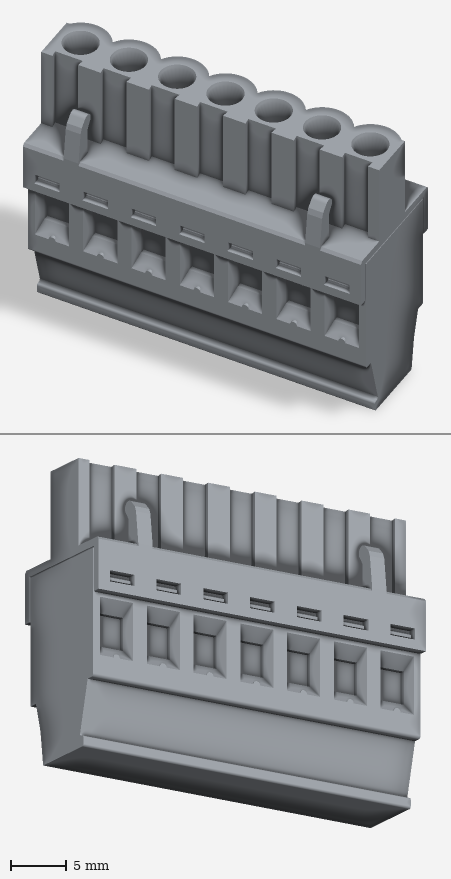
import cadquery as cq
import math


LENGTH = 35.0
POLES = 7
PITCH = LENGTH / POLES
POLE_X = [(i - (POLES - 1) / 2) * PITCH for i in range(POLES)]

STEP_Z = 6.2
HOOD_BOTTOM_Z = 14.25
HOOD_TOP_Z = 19.3
TOTAL_HEIGHT = 27.6

HOOD_HALF_DEPTH = 6.3
BODY_HALF_DEPTH = 5.35
HOOD_PLATE = 0.75
BEVEL_DEPTH = 0.25
BEVEL_HEIGHT = 0.28
SEAM_WIDTH = 0.15
SEAM_DEPTH = 0.1
STEP_ROUND = 0.28

FOOT_TOP_HALF = 4.4
FOOT_BACK_MID_Y = 3.65
FOOT_BACK_MID_Z = 3.35
FOOT_BACK_BOTTOM_Y = 3.2
FOOT_FRONT_Y = -3.1
RAIL_Y = -3.68
RAIL_HEIGHT = 1.05
RAIL_ROUND = 0.2
RAIL_ROOT_RADIUS = 0.25

LOBE_RADIUS = 2.9
SOCKET_FRONT_Y = -2.87
END_SHOULDER_Y = 1.92
KEYWAY_OPENING = 2.65
KEYWAY_BASE = 2.87
KEYWAY_DEPTH = 0.7
FUNNEL_MOUTH = 3.45
FUNNEL_BASE = 1.58
FUNNEL_DEPTH = 2.1

LATCH_WIDTH = 1.55
LATCH_TIP_Y = -4.65
LATCH_TIP_Z = 23.15
LATCH_TIP_RADIUS = 0.63
LATCH_SLOPE_RUN = 0.6
LATCH_NOSE_Y = -5.9
LATCH_NOSE_Z = 22.45
LATCH_INNER_TOP_Z = 22.05
LATCH_INNER_Y = -4.62
LATCH_FLARE_RUN = 0.1
LATCH_FLARE_HEIGHT = 0.3

ENTRY_WIDTH = 3.55
ENTRY_BOTTOM_Z = 8.33
ENTRY_TOP_Z = 13.85
ENTRY_SIDE_TAPER = 0.4
ENTRY_END_TAPER = 1.2
ENTRY_TAPER_DEPTH = 1.1
ENTRY_DEPTH = 1.6
SILL_RIB_RADIUS = 0.35

WINDOW_WIDTH = 2.62
WINDOW_BOTTOM_Z = 15.15
WINDOW_TOP_Z = 16.2
CATCH_MARGIN = 0.2
CATCH_REACH = 0.6
CATCH_FACE_HEIGHT = 0.28


def extrude_along_row(sketch, width, x_centre=0.0):
    """Extrude a closed Y-Z outline by width, centred on x_centre."""
    return sketch.extrude(width / 2, both=True).translate((x_centre, 0, 0))


def box_between(x_range, y_range, z_range):
    size = [high - low for low, high in (x_range, y_range, z_range)]
    corner = (x_range[0], y_range[0], z_range[0])
    return cq.Workplane("XY").box(*size, centered=False).translate(corner)


def make_body():
    outline = (
        cq.Workplane("YZ")
        .moveTo(FOOT_BACK_BOTTOM_Y, 0)
        .lineTo(FOOT_BACK_MID_Y, FOOT_BACK_MID_Z)
        .lineTo(FOOT_TOP_HALF, STEP_Z)
        .lineTo(BODY_HALF_DEPTH, STEP_Z)
        .lineTo(BODY_HALF_DEPTH, HOOD_BOTTOM_Z)
        .lineTo(HOOD_HALF_DEPTH, HOOD_BOTTOM_Z)
        .lineTo(HOOD_HALF_DEPTH, HOOD_TOP_Z - BEVEL_HEIGHT)
        .lineTo(HOOD_HALF_DEPTH - BEVEL_DEPTH, HOOD_TOP_Z)
        .lineTo(-HOOD_HALF_DEPTH + BEVEL_DEPTH, HOOD_TOP_Z)
        .lineTo(-HOOD_HALF_DEPTH, HOOD_TOP_Z - BEVEL_HEIGHT)
        .lineTo(-HOOD_HALF_DEPTH, HOOD_BOTTOM_Z)
        .lineTo(-BODY_HALF_DEPTH, HOOD_BOTTOM_Z)
        .lineTo(-BODY_HALF_DEPTH, STEP_Z + STEP_ROUND)
        .radiusArc((-BODY_HALF_DEPTH + STEP_ROUND, STEP_Z), -STEP_ROUND)
        .lineTo(-FOOT_TOP_HALF, STEP_Z)
        .lineTo(FOOT_FRONT_Y, RAIL_HEIGHT + RAIL_ROOT_RADIUS)
        .radiusArc((FOOT_FRONT_Y - RAIL_ROOT_RADIUS, RAIL_HEIGHT), RAIL_ROOT_RADIUS)
        .lineTo(RAIL_Y + RAIL_ROUND, RAIL_HEIGHT)
        .radiusArc((RAIL_Y, RAIL_HEIGHT - RAIL_ROUND), -RAIL_ROUND)
        .lineTo(RAIL_Y, RAIL_ROUND)
        .radiusArc((RAIL_Y + RAIL_ROUND, 0), -RAIL_ROUND)
        .close()
    )
    return extrude_along_row(outline, LENGTH)


def make_end_seams():
    """Shallow U-shaped seams between the hood and the body on both end faces."""
    x_range = (-LENGTH / 2, LENGTH / 2)
    seam_top = HOOD_TOP_Z - HOOD_PLATE
    half = BODY_HALF_DEPTH
    outer = box_between(x_range, (-half - SEAM_WIDTH, half + SEAM_WIDTH), (HOOD_BOTTOM_Z, seam_top))
    inner = box_between(x_range, (-half, half), (HOOD_BOTTOM_Z, seam_top - SEAM_WIDTH))
    middle = box_between(
        (-LENGTH / 2 + SEAM_DEPTH, LENGTH / 2 - SEAM_DEPTH),
        (-HOOD_HALF_DEPTH, HOOD_HALF_DEPTH),
        (HOOD_BOTTOM_Z, seam_top),
    )
    return outer.cut(inner).cut(middle)


def make_sockets():
    """Scalloped socket block with a keyway and a pin funnel at every pole."""
    end_x = LENGTH / 2
    valley_y = math.sqrt(LOBE_RADIUS**2 - (PITCH / 2) ** 2)
    shoulder_x = math.sqrt(LOBE_RADIUS**2 - END_SHOULDER_Y**2)
    outline = (
        cq.Workplane("XY")
        .workplane(offset=HOOD_TOP_Z)
        .moveTo(-end_x, SOCKET_FRONT_Y)
        .lineTo(-end_x, END_SHOULDER_Y)
        .lineTo(POLE_X[0] - shoulder_x, END_SHOULDER_Y)
    )
    for x in POLE_X[:-1]:
        outline = outline.threePointArc((x, LOBE_RADIUS), (x + PITCH / 2, valley_y))
    last = POLE_X[-1]
    outline = outline.threePointArc((last, LOBE_RADIUS), (last + shoulder_x, END_SHOULDER_Y))
    outline = outline.lineTo(end_x, END_SHOULDER_Y).lineTo(end_x, SOCKET_FRONT_Y).close()
    block = outline.extrude(TOTAL_HEIGHT - HOOD_TOP_Z)

    keyway_back_y = SOCKET_FRONT_Y + KEYWAY_DEPTH
    for x in POLE_X:
        keyway = (
            cq.Workplane("XY")
            .workplane(offset=HOOD_TOP_Z)
            .moveTo(x - KEYWAY_OPENING / 2, SOCKET_FRONT_Y)
            .lineTo(x - KEYWAY_BASE / 2, keyway_back_y)
            .lineTo(x + KEYWAY_BASE / 2, keyway_back_y)
            .lineTo(x + KEYWAY_OPENING / 2, SOCKET_FRONT_Y)
            .close()
            .extrude(TOTAL_HEIGHT - HOOD_TOP_Z)
        )
        funnel = cq.Solid.makeCone(
            FUNNEL_MOUTH / 2,
            FUNNEL_BASE / 2,
            FUNNEL_DEPTH,
            pnt=cq.Vector(x, 0, TOTAL_HEIGHT),
            dir=cq.Vector(0, 0, -1),
        )
        block = block.cut(keyway).cut(cq.Workplane(funnel))
    return block


def make_latch(x):
    """Hooked latch finger with a round tip and a 45 degree lead-in."""
    diagonal = LATCH_TIP_RADIUS / math.sqrt(2)
    slope_start = (LATCH_TIP_Y - diagonal, LATCH_TIP_Z + diagonal)
    slope_end = (slope_start[0] - LATCH_SLOPE_RUN, slope_start[1] - LATCH_SLOPE_RUN)
    tip_top = (LATCH_TIP_Y + diagonal, LATCH_TIP_Z + diagonal)
    tip_inner = (LATCH_TIP_Y + diagonal, LATCH_TIP_Z - diagonal)
    foot_z = HOOD_TOP_Z - BEVEL_HEIGHT
    outline = (
        cq.Workplane("YZ")
        .moveTo(-HOOD_HALF_DEPTH, foot_z)
        .lineTo(-HOOD_HALF_DEPTH, HOOD_TOP_Z)
        .lineTo(LATCH_NOSE_Y, LATCH_NOSE_Z)
        .lineTo(*slope_end)
        .lineTo(*slope_start)
        .threePointArc(tip_top, tip_inner)
        .lineTo(LATCH_INNER_Y, LATCH_INNER_TOP_Z)
        .lineTo(LATCH_INNER_Y, HOOD_TOP_Z + LATCH_FLARE_HEIGHT)
        .lineTo(LATCH_INNER_Y + LATCH_FLARE_RUN, HOOD_TOP_Z)
        .lineTo(LATCH_INNER_Y + LATCH_FLARE_RUN, foot_z)
        .close()
    )
    return extrude_along_row(outline, LATCH_WIDTH, x)


def make_wire_entry(x):
    """Tapered entry, a straight pocket behind it and a round rib left standing on its sill."""
    mid_z = (ENTRY_BOTTOM_Z + ENTRY_TOP_Z) / 2
    height = ENTRY_TOP_Z - ENTRY_BOTTOM_Z
    inner_width = ENTRY_WIDTH - 2 * ENTRY_SIDE_TAPER
    inner_height = height - 2 * ENTRY_END_TAPER
    face = cq.Workplane("XZ", origin=(x, -BODY_HALF_DEPTH, mid_z))
    taper = (
        face.rect(ENTRY_WIDTH, height)
        .workplane(offset=-ENTRY_TAPER_DEPTH)
        .rect(inner_width, inner_height)
        .loft(ruled=True)
    )
    pocket = face.rect(inner_width, inner_height).extrude(-ENTRY_DEPTH)
    rib = (
        cq.Workplane("XZ", origin=(x, -BODY_HALF_DEPTH, ENTRY_BOTTOM_Z))
        .circle(SILL_RIB_RADIUS)
        .extrude(-ENTRY_TAPER_DEPTH)
    )
    return taper.union(pocket).cut(rib)


def make_snap_window(x):
    """Window through the hood skirt, less the bevelled catch left standing in it."""
    half = WINDOW_WIDTH / 2
    window = box_between(
        (x - half, x + half),
        (-HOOD_HALF_DEPTH, -BODY_HALF_DEPTH),
        (WINDOW_BOTTOM_Z, WINDOW_TOP_Z),
    )
    catch_bottom = WINDOW_BOTTOM_Z + CATCH_MARGIN
    catch_front_y = -BODY_HALF_DEPTH - CATCH_REACH
    catch = (
        cq.Workplane("YZ")
        .moveTo(-BODY_HALF_DEPTH, catch_bottom)
        .lineTo(catch_front_y, catch_bottom)
        .lineTo(catch_front_y, catch_bottom + CATCH_FACE_HEIGHT)
        .lineTo(-BODY_HALF_DEPTH, WINDOW_TOP_Z - CATCH_MARGIN)
        .close()
    )
    return window.cut(extrude_along_row(catch, WINDOW_WIDTH - 2 * CATCH_MARGIN, x))


result = make_body().cut(make_end_seams()).union(make_sockets())

for latch_x in (-LENGTH / 2 + PITCH, LENGTH / 2 - PITCH):
    result = result.union(make_latch(latch_x))

for pole in POLE_X:
    result = result.cut(make_wire_entry(pole)).cut(make_snap_window(pole))